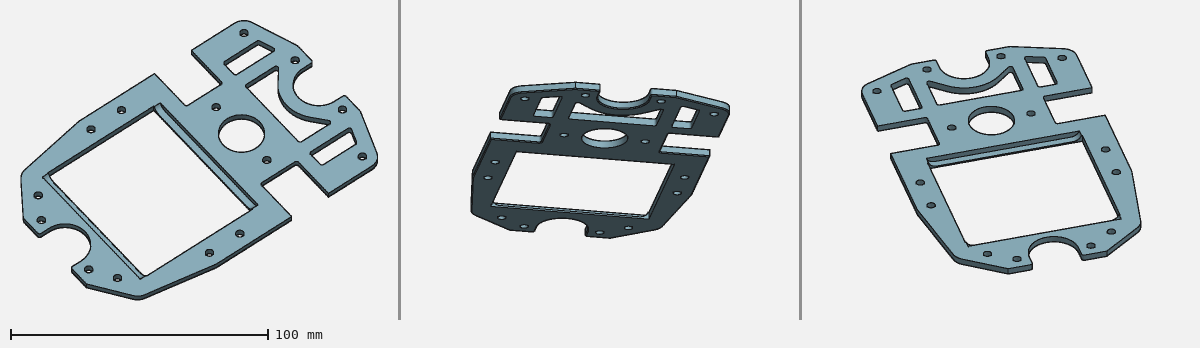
import cadquery as cq
import math

length = 135.0
width = 87.0
thickness = 3.0
bottom_chamfer = 0.4

half_length = length / 2
half_width = width / 2
through = 2 * thickness

end_flat_half = 20.0
back_slope = math.radians(20)
front_slope = math.radians(35)
side_taper = math.radians(10)
taper_start_y = -21.7
corner_radius = 6.0
small_radius = 1.0

end_notch_radius = 10.0
end_notch_depth = 5.0
end_notch_y = half_length - end_notch_depth

bore_diameter = 18.0
bore_y = 24.5
side_notch_half_height = 9.0
neck_half = 23.5

web = 6.0
pocket_bottom_y = 39.5
center_pocket_half = 17.4
center_pocket_slope = math.radians(40)
pocket_radius = 1.0

window_half_width = 31.3
window_y = -20.5
window_half_height = 26.0
ledge_width = 3.0
ledge_depth = 2.3
ledge_floor_radius = 3.8

screw_diameter = 3.2
end_screw_x = 15.0
bore_screw_x = 16.0
side_screw_x = 37.5
back_screw_y = 54.8
side_screw_pitch = 15.0
front_screw_x = 25.1
front_screw_y = -56.2
screw_places = [
    (end_screw_x, end_notch_y),
    (side_screw_x, back_screw_y),
    (bore_screw_x, bore_y),
    (side_screw_x, window_y + side_screw_pitch),
    (side_screw_x, window_y),
    (front_screw_x, front_screw_y),
    (end_screw_x, -end_notch_y),
]


def back_edge_y(x):
    """Y of the sloped back edge at a distance x from the centre line."""
    return half_length - (x - end_flat_half) * math.tan(back_slope)


def front_corner():
    """Point where the tapered side meets the sloped front edge."""
    lean = math.tan(side_taper)
    rise = math.tan(front_slope)
    side_x_at_front = half_width - (taper_start_y + half_length) * lean
    height = (side_x_at_front - end_flat_half) * rise / (1 - lean * rise)
    return end_flat_half + height / rise, height - half_length


def mirrored(points):
    """Points followed by their mirror images about the Y axis, in loop order."""
    return points + [(-x, y) for x, y in reversed(points)]


def prism(points, height=through):
    """Straight-sided body standing on the XY plane."""
    return cq.Workplane("XY").polyline(points).close().extrude(height)


def round_corners(body, radius, places):
    """Round the vertical edges of body that stand at the given places."""
    selector = None
    reach = 0.01
    for x, y in places:
        box = cq.selectors.BoxSelector(
            (x - reach, y - reach, -through), (x + reach, y + reach, through), boundingbox=False
        )
        selector = box if selector is None else selector + box
    return body.edges("|Z").edges(selector).fillet(radius)


def end_notch(direction):
    """U-shaped cutter for the +Y (1) or -Y (-1) end."""
    center_y = direction * end_notch_y
    open_y = direction * (half_length + end_notch_depth)
    return (
        cq.Workplane("XY")
        .moveTo(-end_notch_radius, open_y)
        .lineTo(-end_notch_radius, center_y)
        .threePointArc((0, center_y - direction * end_notch_radius), (end_notch_radius, center_y))
        .lineTo(end_notch_radius, open_y)
        .close()
        .extrude(through)
    )


def make_plate():
    notch_top = bore_y + side_notch_half_height
    notch_bottom = bore_y - side_notch_half_height
    back_corner = (half_width, back_edge_y(half_width))
    large_corners = [back_corner, front_corner()]
    notch_corners = [(neck_half, notch_top), (neck_half, notch_bottom)]
    right_side = [
        (end_flat_half, half_length),
        back_corner,
        (half_width, notch_top),
        *notch_corners,
        (half_width, notch_bottom),
        (half_width, taper_start_y),
        front_corner(),
        (end_flat_half, -half_length),
    ]
    plate = prism(mirrored(right_side), thickness)
    plate = plate.cut(end_notch(1)).cut(end_notch(-1))
    mouth_corners = [(end_notch_radius, half_length), (end_notch_radius, -half_length)]
    plate = round_corners(plate, corner_radius, mirrored(large_corners))
    plate = round_corners(plate, small_radius, mirrored(notch_corners + mouth_corners))
    return plate.faces("<Z").chamfer(bottom_chamfer)


def side_pocket():
    """Pocket at +X whose top runs parallel to the sloped back edge."""
    drop = web / math.cos(back_slope)
    outline = [
        (neck_half, pocket_bottom_y),
        (window_half_width, pocket_bottom_y),
        (window_half_width, back_edge_y(window_half_width) - drop),
        (neck_half, back_edge_y(neck_half) - drop),
    ]
    return prism(outline).edges("|Z").fillet(pocket_radius)


def center_pocket():
    """Pocket below the back notch: a concentric arc with tangent flanks."""
    radius = end_notch_radius + web
    tangent_x = radius * math.sin(center_pocket_slope)
    tangent_y = end_notch_y - radius * math.cos(center_pocket_slope)
    top_y = tangent_y + (center_pocket_half - tangent_x) * math.tan(center_pocket_slope)
    body = (
        cq.Workplane("XY")
        .moveTo(-center_pocket_half, pocket_bottom_y)
        .lineTo(center_pocket_half, pocket_bottom_y)
        .lineTo(center_pocket_half, top_y)
        .lineTo(tangent_x, tangent_y)
        .threePointArc((0, end_notch_y - radius), (-tangent_x, tangent_y))
        .lineTo(-center_pocket_half, top_y)
        .close()
        .extrude(through)
    )
    corners = [(center_pocket_half, pocket_bottom_y), (center_pocket_half, top_y)]
    return round_corners(body, pocket_radius, mirrored(corners))


def window():
    """Through opening plus the round-cornered recess that leaves the ledges."""
    opening = (
        cq.Workplane("XY")
        .center(0, window_y)
        .rect(2 * window_half_width, 2 * window_half_height)
        .extrude(through)
    )
    recess_length = 2 * (window_half_height + ledge_width)
    recess = (
        cq.Workplane("XY", origin=(0, window_y, thickness - ledge_depth))
        .box(2 * window_half_width, recess_length, 2 * ledge_floor_radius, centered=(True, True, False))
        .edges("|Y and <Z")
        .fillet(ledge_floor_radius)
    )
    return opening.union(recess)


def round_holes():
    screws = (
        cq.Workplane("XY")
        .pushPoints(mirrored(screw_places))
        .circle(screw_diameter / 2)
        .extrude(through)
    )
    bore = cq.Workplane("XY").center(0, bore_y).circle(bore_diameter / 2).extrude(through)
    return screws.union(bore)


result = (
    make_plate()
    .cut(side_pocket())
    .cut(side_pocket().mirror("YZ"))
    .cut(center_pocket())
    .cut(window())
    .cut(round_holes())
)